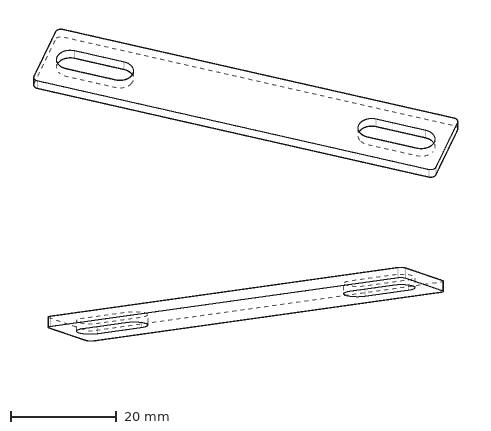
import cadquery as cq

length = 80.0
width = 15.0
thickness = 2.0
corner_radius = 1.0

slot_length = 15.0
slot_width = 5.2
slot_spacing = 60.0

plate = (
    cq.Workplane("XY")
    .rect(length, width)
    .extrude(thickness)
    .edges("|Z")
    .fillet(corner_radius)
)

result = (
    plate.faces(">Z")
    .workplane()
    .pushPoints([(side * slot_spacing / 2, 0) for side in (-1, 1)])
    .slot2D(slot_length, slot_width)
    .cutThruAll()
)